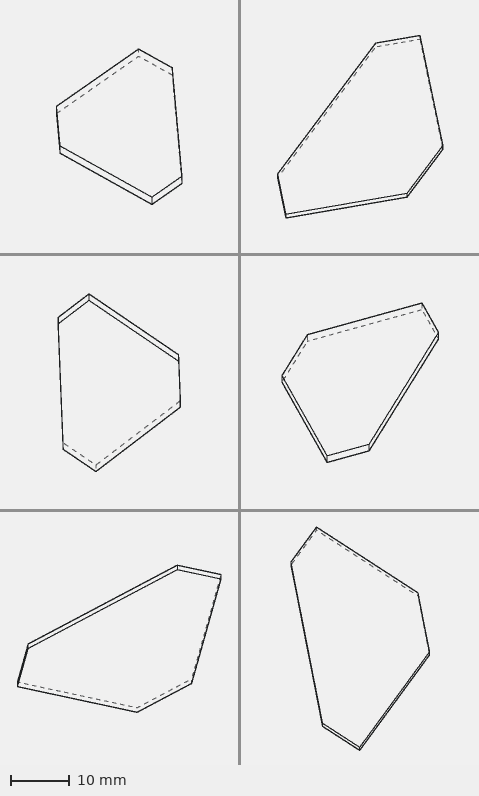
import cadquery as cq

side = 28.62
thickness = 1.6
end_width = 7.67
corner_cut = 7.67

outline = [
    (corner_cut, 0),
    (side, 0),
    (side, end_width),
    (end_width, side),
    (0, side),
    (0, corner_cut),
]

result = cq.Workplane("XY").polyline(outline).close().extrude(thickness)